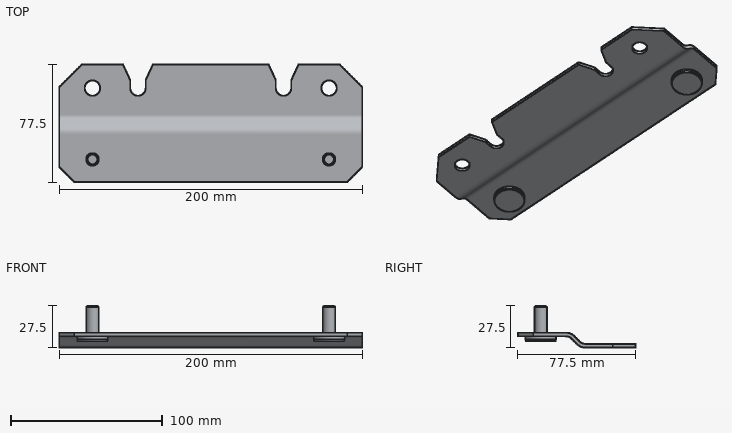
import cadquery as cq
import math

length = 200.0
depth = 77.5
thickness = 2.5
step = 7.5
bend_angle = math.radians(45)
inner_radius = 5.0
outer_radius = inner_radius + thickness
bend_start = 31.8
front_chamfer = 10.0
rear_chamfer = 15.0

half_length = length / 2
front_y = -depth / 2
rear_y = depth / 2
upper_bottom = step
upper_top = step + thickness

hole_diameter = 10.0
hole_inset = 22.0
hole_from_rear = 15.5
hole_x = half_length - hole_inset
hole_y = rear_y - hole_from_rear
notch_x = half_length - 52.0
notch_radius = hole_diameter / 2
flare_half_width = 9.8
flare_depth = 10.5

stud_diameter = 8.5
stud_height = 17.5
stud_from_front = 15.0
stud_y = front_y + stud_from_front
stud_chamfer_width = 1.0
stud_chamfer_height = 0.8
head_diameter = 20.5
head_height = 3.0
head_chamfer_width = 0.5
head_chamfer_height = 1.2

sides = (-1, 1)


def arc_point(center, radius, angle):
    """Point in the YZ plane, with the angle measured from +Y."""
    return (center[0] + radius * math.cos(angle), center[1] + radius * math.sin(angle))


def make_sheet():
    """Extrude the joggled sheet section along X."""
    radii = inner_radius + outer_radius
    slope_rise = step - radii * (1 - math.cos(bend_angle))
    bend_length = radii * math.sin(bend_angle) + slope_rise / math.tan(bend_angle)
    upper_bend_y = front_y + bend_start
    lower_bend_y = upper_bend_y + bend_length
    upper_center = (upper_bend_y, upper_bottom - inner_radius)
    lower_center = (lower_bend_y, outer_radius)

    up = math.pi / 2
    upper_mid, upper_end = up - bend_angle / 2, up - bend_angle
    lower_mid, lower_end = -up - bend_angle / 2, -up - bend_angle

    section = (
        cq.Workplane("YZ", origin=(-half_length, 0, 0))
        .moveTo(front_y, upper_bottom)
        .lineTo(front_y, upper_top)
        .lineTo(upper_bend_y, upper_top)
        .threePointArc(
            arc_point(upper_center, outer_radius, upper_mid),
            arc_point(upper_center, outer_radius, upper_end),
        )
        .lineTo(*arc_point(lower_center, inner_radius, lower_end))
        .threePointArc(
            arc_point(lower_center, inner_radius, lower_mid),
            (lower_bend_y, thickness),
        )
        .lineTo(rear_y, thickness)
        .lineTo(rear_y, 0)
        .lineTo(lower_bend_y, 0)
        .threePointArc(
            arc_point(lower_center, outer_radius, lower_mid),
            arc_point(lower_center, outer_radius, lower_end),
        )
        .lineTo(*arc_point(upper_center, inner_radius, upper_end))
        .threePointArc(
            arc_point(upper_center, inner_radius, upper_mid),
            (upper_bend_y, upper_bottom),
        )
        .close()
    )
    return section.extrude(length)


def make_outline():
    """Rectangular blank with its four corners cut off."""
    blank = cq.Workplane("XY").rect(length, depth).extrude(upper_top)
    blank = blank.edges("|Z and >Y").chamfer(rear_chamfer)
    return blank.edges("|Z and <Y").chamfer(front_chamfer)


def make_notch(x):
    """Round-bottomed notch that flares out to the rear edge."""
    flare_y = rear_y - flare_depth
    return (
        cq.Workplane("XY")
        .moveTo(x - flare_half_width, rear_y)
        .lineTo(x - notch_radius, flare_y)
        .lineTo(x - notch_radius, hole_y)
        .threePointArc((x, hole_y - notch_radius), (x + notch_radius, hole_y))
        .lineTo(x + notch_radius, flare_y)
        .lineTo(x + flare_half_width, rear_y)
        .close()
        .extrude(upper_top)
    )


def make_round_cutter(x, y, diameter):
    return cq.Workplane("XY").center(x, y).circle(diameter / 2).extrude(upper_top)


def make_plate():
    plate = make_sheet().intersect(make_outline())
    for side in sides:
        plate = plate.cut(make_round_cutter(side * hole_x, hole_y, hole_diameter))
        plate = plate.cut(make_notch(side * notch_x))
        plate = plate.cut(make_round_cutter(side * hole_x, stud_y, stud_diameter))
    return plate


def make_stud(x):
    """Revolve a stud whose head bears on the underside of the upper flange."""
    stud_radius = stud_diameter / 2
    head_radius = head_diameter / 2
    head_bottom = upper_bottom - head_height
    stud_top = upper_top + stud_height
    return (
        cq.Workplane("XZ", origin=(x, stud_y, 0))
        .moveTo(0, head_bottom)
        .lineTo(head_radius - head_chamfer_width, head_bottom)
        .lineTo(head_radius, head_bottom + head_chamfer_height)
        .lineTo(head_radius, upper_bottom)
        .lineTo(stud_radius, upper_bottom)
        .lineTo(stud_radius, stud_top - stud_chamfer_height)
        .lineTo(stud_radius - stud_chamfer_width, stud_top)
        .lineTo(0, stud_top)
        .close()
        .revolve(360, (0, 0, 0), (0, 1, 0))
    )


plate = make_plate()
studs = [make_stud(side * hole_x) for side in sides]

result = cq.Compound.makeCompound([plate.solids().val(), *[stud.val() for stud in studs]])